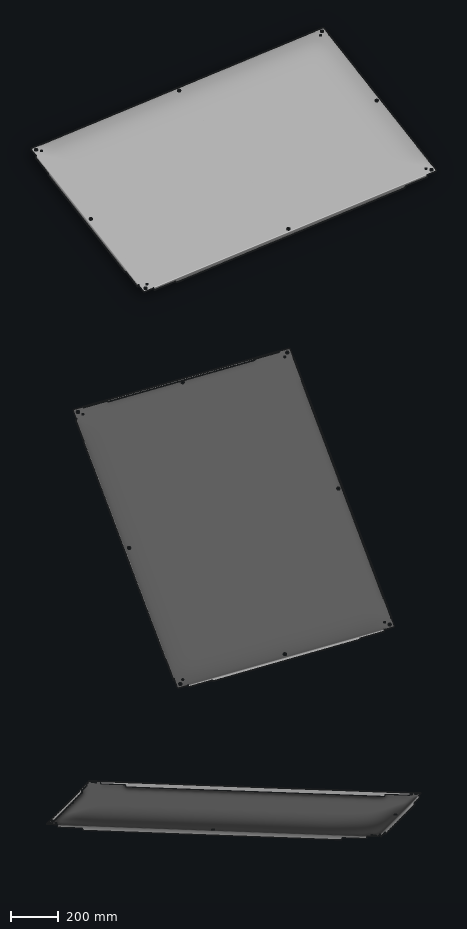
import cadquery as cq
import math

INCH = 25.4
LENGTH_X = 963.61
LENGTH_Y = 1420.81
HEIGHT = 0.875 * INCH
THICKNESS = 3.04

BEND_RADIUS_OUTER = 5.95
BEND_RADIUS_INNER = BEND_RADIUS_OUTER - THICKNESS
FLANGE_END_INSET = 2.0 * INCH
STEP_INSET = 6.125 * INCH
SHALLOW_DEPTH = 13.0
STEP_RUN = 4.0
OUTLINE_RADIUS = 3.5

CORNER_SETBACK = 3.3
CORNER_RADIUS = 0.25 * INCH

MOUNTING_DIAMETER = 12.7
MOUNTING_INSET = 20.64
SMALL_DIAMETER = 7.14
SMALL_INSET = 37.2

TOP_Z = HEIGHT / 2
BOTTOM_Z = -HEIGHT / 2


def make_flat_panel():
    """Flat rectangular sheet with rounded corners."""
    corner_x = LENGTH_X - 2 * CORNER_SETBACK
    corner_y = LENGTH_Y - 2 * CORNER_SETBACK
    return (
        cq.Workplane("XY")
        .workplane(offset=TOP_Z - THICKNESS)
        .rect(corner_x, corner_y)
        .extrude(THICKNESS)
        .edges("|Z")
        .fillet(CORNER_RADIUS)
    )


def make_bend_clearance(length, edge_distance):
    """Block that clears the flat sheet outside one bend line on the +X side."""
    width = BEND_RADIUS_OUTER
    center_x = edge_distance - width / 2
    return cq.Workplane("XY").box(width, length, 2 * HEIGHT).translate((center_x, 0, 0))


def make_flange(edge_length, edge_distance):
    """Folded flange along the +X edge, deeper over its middle part."""
    length = edge_length - 2 * FLANGE_END_INSET
    step_half = edge_length / 2 - STEP_INSET
    bend_x = edge_distance - BEND_RADIUS_OUTER
    bend_z = TOP_Z - BEND_RADIUS_OUTER
    diagonal = math.sqrt(0.5)
    section = (
        cq.Workplane("XZ")
        .moveTo(bend_x, TOP_Z)
        .threePointArc(
            (bend_x + BEND_RADIUS_OUTER * diagonal, bend_z + BEND_RADIUS_OUTER * diagonal),
            (edge_distance, bend_z),
        )
        .lineTo(edge_distance, BOTTOM_Z)
        .lineTo(edge_distance - THICKNESS, BOTTOM_Z)
        .lineTo(edge_distance - THICKNESS, bend_z)
        .threePointArc(
            (bend_x + BEND_RADIUS_INNER * diagonal, bend_z + BEND_RADIUS_INNER * diagonal),
            (bend_x, TOP_Z - THICKNESS),
        )
        .close()
        .extrude(length / 2, both=True)
    )
    shallow_z = TOP_Z - SHALLOW_DEPTH
    side_outline = (
        cq.Workplane("YZ")
        .polyline([
            (-length / 2, TOP_Z),
            (length / 2, TOP_Z),
            (length / 2, shallow_z),
            (step_half, shallow_z),
            (step_half - STEP_RUN, BOTTOM_Z),
            (STEP_RUN - step_half, BOTTOM_Z),
            (-step_half, shallow_z),
            (-length / 2, shallow_z),
        ])
        .close()
        .extrude(edge_distance)
        .edges("|X and (not >Z)")
        .fillet(OUTLINE_RADIUS)
    )
    return section.intersect(side_outline)


def fold_edges(panel):
    """Replace the sheet at each of the four edges by a folded flange."""
    edges = [
        (0, LENGTH_Y, LENGTH_X / 2),
        (90, LENGTH_X, LENGTH_Y / 2),
        (180, LENGTH_Y, LENGTH_X / 2),
        (270, LENGTH_X, LENGTH_Y / 2),
    ]
    for angle, edge_length, edge_distance in edges:
        clearance = make_bend_clearance(edge_length - 2 * FLANGE_END_INSET, edge_distance)
        flange = make_flange(edge_length, edge_distance)
        panel = panel.cut(clearance.rotate((0, 0, 0), (0, 0, 1), angle))
        panel = panel.union(flange.rotate((0, 0, 0), (0, 0, 1), angle))
    return panel


def corner_points(inset):
    """Four points at the same inset from both edges of each corner."""
    x = LENGTH_X / 2 - inset
    y = LENGTH_Y / 2 - inset
    return [(-x, -y), (x, -y), (x, y), (-x, y)]


def drill(panel, points, diameter):
    """Drill through the panel face at the given points."""
    return panel.cut(
        cq.Workplane("XY").pushPoints(points).circle(diameter / 2).extrude(HEIGHT)
    )


mounting_x = LENGTH_X / 2 - MOUNTING_INSET
mounting_y = LENGTH_Y / 2 - MOUNTING_INSET
mid_edge_points = [(-mounting_x, 0), (mounting_x, 0), (0, -mounting_y), (0, mounting_y)]

result = fold_edges(make_flat_panel())
result = drill(result, corner_points(MOUNTING_INSET) + mid_edge_points, MOUNTING_DIAMETER)
result = drill(result, corner_points(SMALL_INSET), SMALL_DIAMETER)